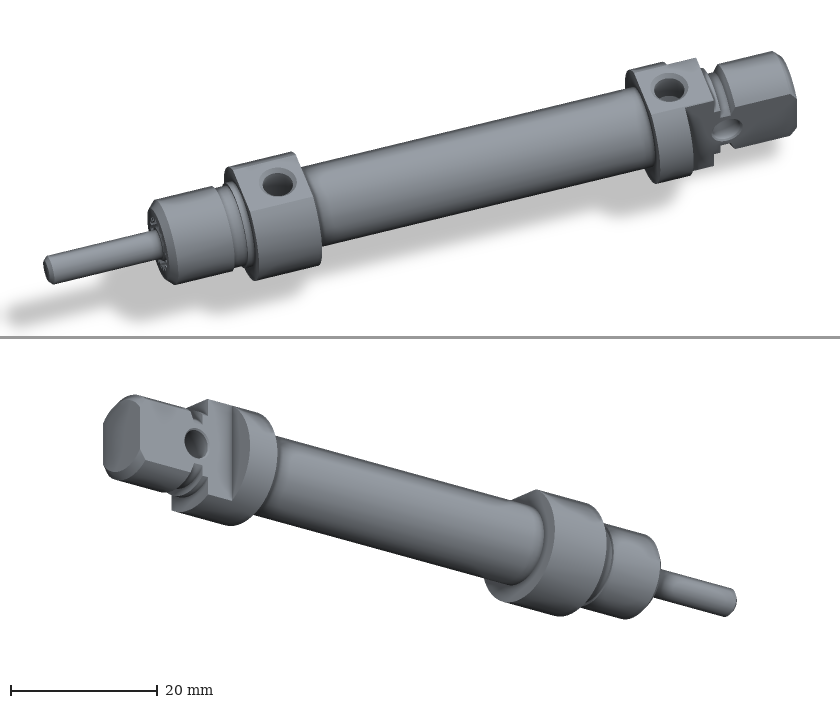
import cadquery as cq
import math

LENGTH = 106.0

FLANGE_DIA = 16.0
NECK_DIA = 12.0
BARREL_DIA = 11.2
ROD_DIA = 4.0
TOP_FLAT_Z = 7.0
END_CHAMFER = 1.0

GROOVE_DIA = 10.0
GROOVE_START = 8.8
GROOVE_SLOPE_RUN = 0.6
GROOVE_END = 10.9
REAR_FLANGE_START = 11.9
TANG_END = 16.0
REAR_FLANGE_END = 20.8
BARREL_START = 22.0
TANG_WIDTH = 8.1
PIVOT_STATION = 10.0
PIVOT_DIA = 4.0
PIVOT_RIM_DIA = 4.5

BARREL_END = 67.8
FRONT_FLANGE_START = 69.1
FRONT_FLANGE_END = 78.1
RELIEF_START = 79.1
RELIEF_END = 81.0
NOSE_END = 90.0

LIP_TIP_DIA = 4.7
LIP_BASE_DIA = 5.7
RECESS_DEPTH = 1.0
TOOTH_TIP_DIA = 6.6
TOOTH_ROOT_DIA = 7.6
TOOTH_COUNT = 18

PORT_DIA = 4.1
PORT_RIM_DIA = 5.2
REAR_PORT_STATION = 17.0
REAR_PORT_DEPTH = 4.2
FRONT_PORT_STATION = 72.9
DRILL_POINT_ANGLE = 118.0

ROD_CHAMFER = 0.5


def turned(profile):
    """Solid of revolution about Y from (radius, station) points; closes along the axis."""
    first_station = profile[0][1]
    last_station = profile[-1][1]
    points = [(0, -first_station)]
    points += [(radius, -station) for radius, station in profile]
    points += [(0, -last_station)]
    return cq.Workplane("XY").polyline(points).close().revolve(360, (0, 0, 0), (0, 1, 0))


def flatten_top(body):
    """Mill the flat that carries the air port."""
    above = cq.Workplane("XY").box(2 * FLANGE_DIA, 3 * LENGTH, FLANGE_DIA, centered=(True, True, False))
    return body.cut(above.translate((0, 0, TOP_FLAT_Z)))


def port_tool(station, depth, pointed):
    """Drill entering from the top flat, with a 45 degree rim chamfer and an optional drill point."""
    radius = PORT_DIA / 2
    rim_radius = PORT_RIM_DIA / 2
    bottom = TOP_FLAT_Z - depth
    point_length = radius / math.tan(math.radians(DRILL_POINT_ANGLE / 2)) if pointed else 0
    profile = [
        (0, TOP_FLAT_Z),
        (rim_radius, TOP_FLAT_Z),
        (radius, TOP_FLAT_Z - (rim_radius - radius)),
        (radius, bottom),
        (0, bottom - point_length),
    ]
    drill = cq.Workplane("XZ").polyline(profile).close().revolve(360, (0, 0, 0), (0, 1, 0))
    return drill.translate((0, -station, 0))


def make_rear_cap():
    neck = NECK_DIA / 2
    groove = GROOVE_DIA / 2
    flange = FLANGE_DIA / 2
    barrel = BARREL_DIA / 2
    cap = turned([
        (neck - END_CHAMFER, 0),
        (neck, END_CHAMFER),
        (neck, GROOVE_START),
        (groove, GROOVE_START + GROOVE_SLOPE_RUN),
        (groove, GROOVE_END),
        (neck, GROOVE_END),
        (neck, REAR_FLANGE_START),
        (flange, REAR_FLANGE_START),
        (flange, REAR_FLANGE_END),
        (barrel, REAR_FLANGE_END),
        (barrel, BARREL_START),
    ])
    cap = flatten_top(cap)

    for side in (-1, 1):
        cheek = cq.Workplane("XY").box(FLANGE_DIA, TANG_END, 2 * FLANGE_DIA)
        cap = cap.cut(cheek.translate((side * (TANG_WIDTH + FLANGE_DIA) / 2, -TANG_END / 2, 0)))

    radius = PIVOT_DIA / 2
    rim_radius = PIVOT_RIM_DIA / 2
    face = TANG_WIDTH / 2
    lip = rim_radius - radius
    pivot_profile = [
        (-face, 0), (-face, rim_radius), (lip - face, radius),
        (face - lip, radius), (face, rim_radius), (face, 0),
    ]
    pivot = cq.Workplane("XY").polyline(pivot_profile).close().revolve(360, (0, 0, 0), (1, 0, 0))
    cap = cap.cut(pivot.translate((0, -PIVOT_STATION, 0)))
    return cap.cut(port_tool(REAR_PORT_STATION, REAR_PORT_DEPTH, True))


def make_barrel():
    return turned([(BARREL_DIA / 2, BARREL_START), (BARREL_DIA / 2, BARREL_END)])


def make_wiper_recess():
    """Toothed recess in the nose face that leaves a tapered wiper lip standing around the rod."""
    floor = NOSE_END - RECESS_DEPTH
    recess = turned([(TOOTH_TIP_DIA / 2, floor), (TOOTH_TIP_DIA / 2, NOSE_END)])

    slot_length = TOOTH_ROOT_DIA / 2
    slot_width = math.pi * TOOTH_TIP_DIA / (2 * TOOTH_COUNT)
    slot = cq.Workplane("XY").box(slot_length, RECESS_DEPTH, slot_width, centered=(False, False, True))
    slot = slot.translate((0, -NOSE_END, 0))
    pitch = 360 / TOOTH_COUNT
    for index in range(TOOTH_COUNT):
        recess = recess.union(slot.rotate((0, 0, 0), (0, 1, 0), (index + 0.5) * pitch))

    lip = turned([(LIP_BASE_DIA / 2, floor), (LIP_TIP_DIA / 2, NOSE_END)])
    return recess.cut(lip)


def make_front_cap():
    neck = NECK_DIA / 2
    flange = FLANGE_DIA / 2
    barrel = BARREL_DIA / 2
    cap = turned([
        (barrel, BARREL_END),
        (barrel, FRONT_FLANGE_START),
        (flange, FRONT_FLANGE_START),
        (flange, FRONT_FLANGE_END),
        (neck, FRONT_FLANGE_END),
        (neck, RELIEF_START),
        (barrel, RELIEF_START),
        (barrel, RELIEF_END),
        (neck, RELIEF_END),
        (neck, NOSE_END - END_CHAMFER),
        (neck - END_CHAMFER, NOSE_END),
    ])
    cap = flatten_top(cap)
    cap = cap.cut(turned([(ROD_DIA / 2, BARREL_END), (ROD_DIA / 2, NOSE_END)]))
    cap = cap.cut(make_wiper_recess())
    return cap.cut(port_tool(FRONT_PORT_STATION, TOP_FLAT_Z, False))


def make_rod():
    radius = ROD_DIA / 2
    return turned([
        (radius, BARREL_END),
        (radius, LENGTH - ROD_CHAMFER),
        (radius - ROD_CHAMFER, LENGTH),
    ])


rear_cap = make_rear_cap()
barrel = make_barrel()
front_cap = make_front_cap()
rod = make_rod()
result = cq.Compound.makeCompound([rear_cap.val(), barrel.val(), front_cap.val(), rod.val()])